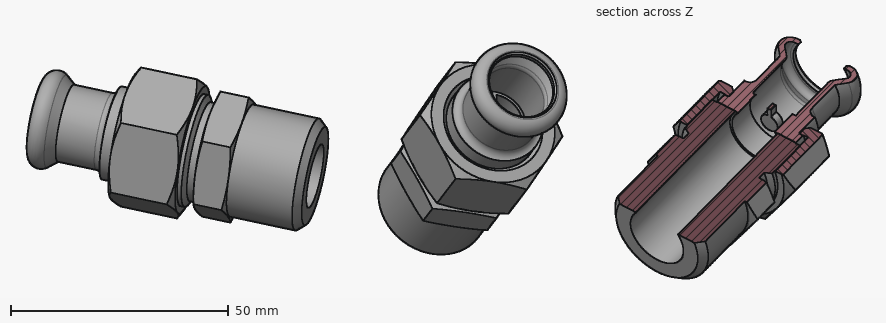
import cadquery as cq
import math

overall_length = 66.4

tube_bore = 15.2
wall = 1.5
tube_outer = tube_bore + 2 * wall
entry_bore = 15.8
entry_chamfer = 0.45
bead_outer = 23.2
bead_inner = 17.5
bead_radius = (bead_outer - bead_inner) / 2
groove_radius = bead_radius - wall
bead_slope = math.radians(39)
groove_blend = 2.0
collar_diameter = 22.0
collar_start = 17.9
collar_fillet = 1.8
flange_diameter = 24.12
flange_length = 3.0

stop_position = 20.0
stop_bore = 13.8
disc_diameter = 4.7
strut_width = 1.0
disc_thickness = 2.0

nut_start = 21.1
nut_length = 16.0
nut_across_flats = 30.0
nut_bore = 22.1
nut_bore_chamfer = 1.0
nut_front_wall = 3.0
nut_chamfer_angle = math.radians(30)

thread_diameter = 26.44
body_bore = 15.0
relief_diameter = 23.4
front_thread_end = 38.1
relief_start = 39.0
hex_start = 40.9
hex_length = 8.0
hex_across_flats = 27.0
hex_front_face_diameter = 25.7
hex_chamfer_angle = math.radians(15)
end_chamfer_length = 1.85
end_chamfer_depth = 1.65

nut_end = nut_start + nut_length
flange_start = nut_start + nut_front_wall
body_start = flange_start + flange_length
hex_end = hex_start + hex_length


def revolve_x(profile):
    """Turn a closed XY profile, with Y as the radius, about the X axis."""
    return profile.close().revolve(360, (0, 0, 0), (1, 0, 0))


def cylinder_x(start, end, diameter):
    return cq.Workplane("YZ", origin=(start, 0, 0)).circle(diameter / 2).extrude(end - start)


def chamfered_hex(start, end, across_flats, front_face, rear_face, angle):
    """Hexagonal bar with corners on +-Y, its corners trimmed by a cone at each end."""
    across_corners = across_flats / math.cos(math.pi / 6)
    bar = cq.Workplane("YZ", origin=(start, 0, 0)).polygon(6, across_corners).extrude(end - start)
    outer = across_corners
    front_cut = (outer - front_face / 2) * math.tan(angle)
    rear_cut = (outer - rear_face / 2) * math.tan(angle)
    envelope = revolve_x(
        cq.Workplane("XY")
        .moveTo(start, 0)
        .lineTo(start, front_face / 2)
        .lineTo(start + front_cut, outer)
        .lineTo(end - rear_cut, outer)
        .lineTo(end, rear_face / 2)
        .lineTo(end, 0)
    )
    return bar.intersect(envelope)


def bead_point(radius, angle):
    """Point on a circle about the bead centre, with the angle measured from +Y toward +X."""
    return (
        bead_radius + radius * math.sin(angle),
        bead_inner / 2 + radius * math.cos(angle),
    )


def cone_end(radius, end_radius):
    """Point where the line tangent to the bead circle falls to the given radius."""
    x, y = bead_point(radius, bead_slope)
    return (x + (y - end_radius) / math.tan(bead_slope), end_radius)


def make_press_end():
    bead_front = -math.pi / 4
    fillet_mid = collar_fillet * math.sin(math.pi / 4)
    fillet_start = collar_start - collar_fillet
    outside = revolve_x(
        cq.Workplane("XY")
        .lineTo(0, bead_inner / 2)
        .threePointArc(bead_point(bead_radius, bead_front), bead_point(bead_radius, bead_slope))
        .lineTo(*cone_end(bead_radius, tube_outer / 2))
        .lineTo(fillet_start, tube_outer / 2)
        .threePointArc(
            (fillet_start + fillet_mid, tube_outer / 2 + collar_fillet - fillet_mid),
            (collar_start, tube_outer / 2 + collar_fillet),
        )
        .lineTo(collar_start, collar_diameter / 2)
        .lineTo(flange_start, collar_diameter / 2)
        .lineTo(flange_start, flange_diameter / 2)
        .lineTo(body_start, flange_diameter / 2)
        .lineTo(body_start, 0)
    )

    corner_x, bore_radius = cone_end(groove_radius, tube_bore / 2)
    blend_length = groove_blend * math.tan(bead_slope / 2)
    blend_center = (corner_x + blend_length, bore_radius + groove_blend)
    blend_start = (
        corner_x - blend_length * math.cos(bead_slope),
        bore_radius + blend_length * math.sin(bead_slope),
    )
    blend_mid = (
        blend_center[0] - groove_blend * math.sin(bead_slope / 2),
        blend_center[1] - groove_blend * math.cos(bead_slope / 2),
    )
    groove_front = bead_radius - groove_radius
    socket = revolve_x(
        cq.Workplane("XY")
        .lineTo(0, entry_bore / 2 + entry_chamfer)
        .lineTo(entry_chamfer, entry_bore / 2)
        .lineTo(groove_front, entry_bore / 2)
        .lineTo(groove_front, bead_inner / 2)
        .threePointArc(bead_point(groove_radius, bead_front), bead_point(groove_radius, bead_slope))
        .lineTo(*blend_start)
        .threePointArc(blend_mid, (blend_center[0], bore_radius))
        .lineTo(stop_position, bore_radius)
        .lineTo(stop_position, stop_bore / 2)
        .lineTo(body_start, stop_bore / 2)
        .lineTo(body_start, 0)
    )

    strut_height = (stop_bore + wall) / 2
    disc = cylinder_x(stop_position, stop_position + disc_thickness, disc_diameter)
    strut = cq.Workplane("XY").box(
        disc_thickness, strut_width, strut_height, centered=(False, True, False)
    ).translate((stop_position, 0, 0))
    return outside.cut(socket).union(disc).union(strut)


def make_nut():
    blank = chamfered_hex(
        nut_start, nut_end, nut_across_flats, nut_across_flats, nut_across_flats, nut_chamfer_angle
    )
    opening = revolve_x(
        cq.Workplane("XY")
        .moveTo(nut_start, 0)
        .lineTo(nut_start, nut_bore / 2 + nut_bore_chamfer)
        .lineTo(nut_start + nut_bore_chamfer, nut_bore / 2)
        .lineTo(flange_start, nut_bore / 2)
        .lineTo(flange_start, thread_diameter / 2)
        .lineTo(nut_end, thread_diameter / 2)
        .lineTo(nut_end, 0)
    )
    return blank.cut(opening)


def make_male_body():
    turned = revolve_x(
        cq.Workplane("XY")
        .moveTo(body_start, 0)
        .lineTo(body_start, thread_diameter / 2)
        .lineTo(front_thread_end, thread_diameter / 2)
        .lineTo(relief_start, relief_diameter / 2)
        .lineTo(hex_end, relief_diameter / 2)
        .lineTo(hex_end, thread_diameter / 2)
        .lineTo(overall_length - end_chamfer_length, thread_diameter / 2)
        .lineTo(overall_length, thread_diameter / 2 - end_chamfer_depth)
        .lineTo(overall_length, 0)
    )
    wrench_hex = chamfered_hex(
        hex_start, hex_end, hex_across_flats, hex_front_face_diameter, hex_across_flats, hex_chamfer_angle
    )
    return turned.union(wrench_hex).cut(cylinder_x(body_start, overall_length, body_bore))


press_end = make_press_end()
nut = make_nut()
male_body = make_male_body()
result = cq.Compound.makeCompound([press_end.val(), nut.val(), male_body.val()])